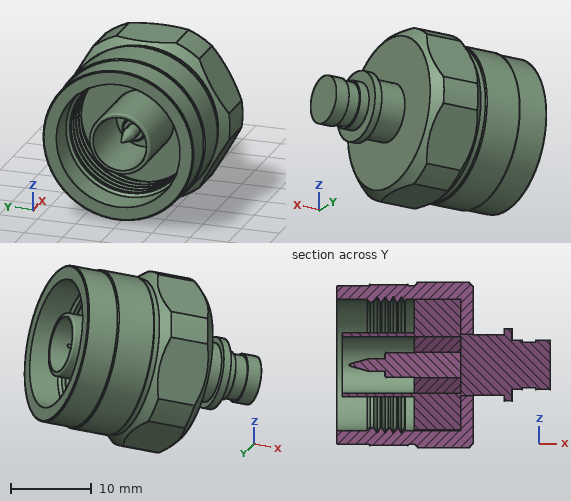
import cadquery as cq
import math


total_length = 26.5
nut_length = 16.97
cavity_floor_x = 9.6
flange_rear_x = 15.38
mouth_radius = 8.1
neck_radius = 3.76

hex_across_flats = 20.57
hex_corner_radius = 11.0
hex_front_x = 9.65
sleeve_radius = 9.85
lip_chamfer = 0.13
band_front_x = 3.95
band_rear_x = 9.0
band_height = 0.15
band_radius = sleeve_radius + band_height
band_bevel = 0.15
hex_rear_chamfer = 1.25

mouth_depth = 3.76
thread_crest_radius = 7.75
thread_lead_in = mouth_radius - thread_crest_radius
thread_flank_angle = 60.0
thread_pitch = 1.0
thread_count = 4
groove_width = 0.8
groove_depth = groove_width / 2 / math.tan(math.radians(thread_flank_angle / 2))
groove_root_radius = thread_crest_radius + groove_depth
first_crest = 0.48
last_crest = 0.1
first_groove_x = mouth_depth + thread_lead_in + first_crest
thread_end_x = first_groove_x + (thread_count - 1) * thread_pitch + groove_width + last_crest

ferrule_front_x = 0.65
ferrule_radius = 4.0
ferrule_bore_radius = 3.5
ferrule_edge_round = 0.2
collar_front_x = 20.78
collar_rear_x = 21.76
collar_radius = 4.5
crimp_radius = 3.08
crimp_groove_front_x = 23.05
crimp_groove_rear_x = 24.68
crimp_groove_radius = 2.84

insulator_rear_x = flange_rear_x
pin_tip_x = 1.55
pin_tip_radius = 0.19
pin_radius = 0.82
pin_taper_length = 2.5
pin_shoulder_x = 5.96
pin_shoulder_radius = 1.56
pin_shoulder_chamfer = 0.2


def revolve_about_x(profile):
    """Turn a closed profile drawn on a plane holding the X axis."""
    return profile.close().revolve(360, (0, 0, 0), (1, 0, 0))


def make_nut_blank():
    """Outside of the nut, with the hexagon cut from a chamfered round collar."""
    hex_front_chamfer = hex_corner_radius - sleeve_radius
    outline = [
        (0, 0),
        (0, sleeve_radius - lip_chamfer),
        (lip_chamfer, sleeve_radius),
        (band_front_x, sleeve_radius),
        (band_front_x + band_bevel, band_radius),
        (band_rear_x - band_bevel, band_radius),
        (band_rear_x, sleeve_radius),
        (hex_front_x, sleeve_radius),
        (hex_front_x + hex_front_chamfer, hex_corner_radius),
        (nut_length - hex_rear_chamfer, hex_corner_radius),
        (nut_length, hex_corner_radius - hex_rear_chamfer),
        (nut_length, 0),
    ]
    turned = revolve_about_x(cq.Workplane("XY").polyline(outline))
    hex_across_corners = hex_across_flats / math.cos(math.pi / 6)
    hexagon = cq.Workplane("YZ").polygon(6, hex_across_corners).extrude(nut_length)
    return turned.intersect(hexagon)


def make_nut_cavity():
    """Open mouth, ring-shaped thread grooves, flange seat and neck hole."""
    outline = [
        (0, 0),
        (0, mouth_radius),
        (mouth_depth, mouth_radius),
        (mouth_depth + thread_lead_in, thread_crest_radius),
    ]
    for index in range(thread_count):
        groove_x = first_groove_x + index * thread_pitch
        outline += [
            (groove_x, thread_crest_radius),
            (groove_x + groove_width / 2, groove_root_radius),
            (groove_x + groove_width, thread_crest_radius),
        ]
    outline += [
        (thread_end_x, thread_crest_radius),
        (thread_end_x, mouth_radius),
        (flange_rear_x, mouth_radius),
        (flange_rear_x, neck_radius),
        (nut_length, neck_radius),
        (nut_length, 0),
    ]
    return revolve_about_x(cq.Workplane("XY").polyline(outline))


def make_nut():
    return make_nut_blank().cut(make_nut_cavity())


def make_body():
    """Ferrule, captive flange, neck, collar and grooved crimp spigot."""
    outline = [
        (ferrule_front_x, 0),
        (ferrule_front_x, ferrule_radius),
        (cavity_floor_x, ferrule_radius),
        (cavity_floor_x, mouth_radius),
        (flange_rear_x, mouth_radius),
        (flange_rear_x, neck_radius),
        (collar_front_x, neck_radius),
        (collar_front_x, collar_radius),
        (collar_rear_x, collar_radius),
        (collar_rear_x, crimp_radius),
        (crimp_groove_front_x, crimp_radius),
        (crimp_groove_front_x, crimp_groove_radius),
        (crimp_groove_rear_x, crimp_groove_radius),
        (crimp_groove_rear_x, crimp_radius),
        (total_length, crimp_radius),
        (total_length, 0),
    ]
    turned = revolve_about_x(cq.Workplane("XZ").polyline(outline))
    rounded = turned.faces("<X").edges().fillet(ferrule_edge_round)
    bore = (
        cq.Workplane("YZ", origin=(ferrule_front_x, 0, 0))
        .circle(ferrule_bore_radius)
        .extrude(insulator_rear_x - ferrule_front_x)
    )
    return rounded.cut(bore)


def make_insulator():
    """Plain ring that fills the body bore around the pin."""
    return (
        cq.Workplane("YZ", origin=(cavity_floor_x, 0, 0))
        .circle(ferrule_bore_radius)
        .circle(pin_shoulder_radius)
        .extrude(insulator_rear_x - cavity_floor_x)
    )


def make_pin():
    """Pointed, dome-tipped contact with a thicker, chamfered shank held by the insulator."""
    dome_x = pin_tip_x + pin_tip_radius
    dome_offset = pin_tip_radius * math.sqrt(0.5)
    outline = [
        (pin_tip_x + pin_taper_length, pin_radius),
        (pin_shoulder_x, pin_radius),
        (pin_shoulder_x, pin_shoulder_radius - pin_shoulder_chamfer),
        (pin_shoulder_x + pin_shoulder_chamfer, pin_shoulder_radius),
        (insulator_rear_x, pin_shoulder_radius),
        (insulator_rear_x, 0),
    ]
    dome = (
        cq.Workplane("XZ")
        .moveTo(pin_tip_x, 0)
        .threePointArc((dome_x - dome_offset, dome_offset), (dome_x, pin_tip_radius))
    )
    return revolve_about_x(dome.polyline(outline, includeCurrent=True))


nut = make_nut()
body = make_body()
insulator = make_insulator()
pin = make_pin()

result = cq.Compound.makeCompound([nut.val(), body.val(), insulator.val(), pin.val()])